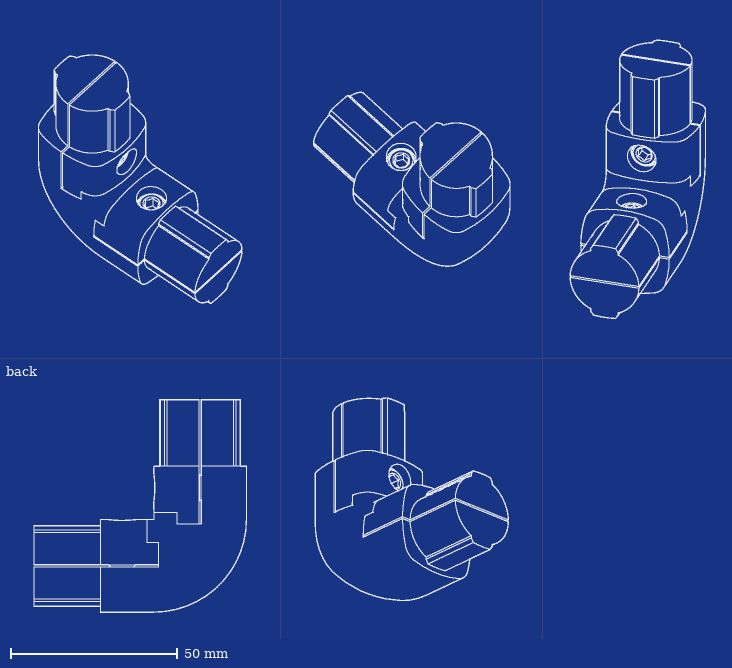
import cadquery as cq
import math


collar_width = 28.0
side_radius = 34.0
corner_radius = 5.0

half_width = collar_width / 2
bend_clearance = 0.01
bend_radius = half_width + bend_clearance
collar_end = 30.0
post_length = 20.0
leg_end = collar_end + post_length

post_radius = 10.9
tab_reach = 12.2
tab_shoulder = 10.75
tab_tip_corner = 12.0
tab_half_width = 4.35
tab_tip_half_width = 3.5

slit_width = 0.6
slit_face = slit_width / 2
jaw_root = 12.6
jaw_step_offset = 7.0
jaw_step_level = 16.0

screw_position = 23.5
screw_diameter = 8.0
screw_length = 11.6
screw_chamfer = 0.5
socket_flats = 4.0
socket_mouth_diameter = 5.1
socket_depth = 4.0
screw_tip = -slit_face
screw_head = screw_tip + screw_length

entry_diameter = 9.0
screw_rise = 1.0
entry_bottom = screw_head - screw_rise
entry_cone_height = (entry_diameter - screw_diameter) / 2


def collar_section(workplane):
    """Closed outline of the collar, four bowed sides joined by tangent corner arcs."""
    side_center = side_radius - half_width
    center_gap = side_radius - corner_radius
    corner_center = (math.sqrt(2 * center_gap**2 - side_center**2) - side_center) / 2
    tangent_along = corner_center * side_radius / center_gap
    tangent_out = (corner_center + side_center) * side_radius / center_gap - side_center
    corner_mid = corner_center + corner_radius / math.sqrt(2)

    outline = workplane.moveTo(tangent_out, -tangent_along)
    for cosine, sine in ((1, 0), (0, 1), (-1, 0), (0, -1)):
        side_mid, side_end, arc_mid, arc_end = [
            (x * cosine - y * sine, x * sine + y * cosine)
            for x, y in (
                (half_width, 0),
                (tangent_out, tangent_along),
                (corner_mid, corner_mid),
                (tangent_along, tangent_out),
            )
        ]
        outline = outline.threePointArc(side_mid, side_end)
        outline = outline.threePointArc(arc_mid, arc_end)
    return outline.close()


def make_post():
    """Round post with two opposite tabs, rising from the end of the collar."""
    post = cq.Workplane("XY", origin=(0, 0, collar_end)).circle(post_radius).extrude(post_length)
    tabs = (
        cq.Workplane("XY", origin=(0, 0, collar_end))
        .moveTo(-tab_shoulder, -tab_half_width)
        .lineTo(tab_shoulder, -tab_half_width)
        .lineTo(tab_tip_corner, -tab_tip_half_width)
        .threePointArc((tab_reach, 0), (tab_tip_corner, tab_tip_half_width))
        .lineTo(tab_shoulder, tab_half_width)
        .lineTo(-tab_shoulder, tab_half_width)
        .lineTo(-tab_tip_corner, tab_tip_half_width)
        .threePointArc((-tab_reach, 0), (-tab_tip_corner, -tab_tip_half_width))
        .close()
        .extrude(post_length)
    )
    return post.union(tabs)


def make_leg(collar_start):
    """Collar and post of the vertical leg, whole, with the collar starting at the given Z."""
    section = collar_section(cq.Workplane("XY", origin=(0, 0, collar_start)))
    collar = section.extrude(collar_end - collar_start)
    return collar.union(make_post())


def make_bend():
    """Quarter turn of the collar section about the inner corner of the two legs."""
    section = collar_section(cq.Workplane("XY", origin=(0, 0, bend_radius)))
    return section.revolve(90, (bend_radius, 1, 0), (bend_radius, 0, 0))


def jaw_region(face_offset):
    """Stepped block over the inner half of the vertical leg, starting at the given X."""
    return (
        cq.Workplane("XZ")
        .moveTo(face_offset, jaw_root)
        .lineTo(jaw_step_offset, jaw_root)
        .lineTo(jaw_step_offset, jaw_step_level)
        .lineTo(half_width, jaw_step_level)
        .lineTo(half_width, leg_end)
        .lineTo(face_offset, leg_end)
        .close()
        .extrude(half_width, both=True)
    )


def screw_axis_plane(offset):
    """Workplane square to the screw axis at the given X."""
    return cq.Workplane("YZ", origin=(offset, 0, screw_position))


def screw_axis_cone(start, small_diameter, large_diameter, height):
    """Cone on the screw axis that widens along +X from the given X."""
    cone = cq.Solid.makeCone(
        small_diameter / 2,
        large_diameter / 2,
        height,
        pnt=cq.Vector(start, 0, screw_position),
        dir=cq.Vector(1, 0, 0),
    )
    return cq.Workplane(cone)


def make_screw_hole():
    """Plain bore, conical floor and wide entry of the jaw's screw hole."""
    floor_start = entry_bottom - entry_cone_height
    bore = screw_axis_plane(0).circle(screw_diameter / 2).extrude(entry_bottom)
    floor = screw_axis_cone(floor_start, screw_diameter, entry_diameter, entry_cone_height)
    entry = screw_axis_plane(entry_bottom).circle(entry_diameter / 2).extrude(half_width - entry_bottom)
    return bore.union(floor).union(entry)


def make_screw():
    """Set screw with chamfered ends and a countersunk hexagon socket."""
    socket_corners = socket_flats / math.cos(math.pi / 6)
    mouth_depth = (socket_mouth_diameter - socket_flats) / 2
    mouth = screw_axis_cone(
        screw_head - mouth_depth, socket_flats, socket_mouth_diameter, mouth_depth
    )
    socket = (
        screw_axis_plane(screw_head)
        .transformed(rotate=(0, 0, 90))
        .polygon(6, socket_corners)
        .extrude(-socket_depth)
    )
    shank = screw_axis_plane(screw_tip).circle(screw_diameter / 2).extrude(screw_length)
    return shank.faces("<X or >X").chamfer(screw_chamfer).cut(socket).cut(mouth)


def on_horizontal_leg(body):
    """The same body on the horizontal leg: a half turn that swaps X and Z."""
    return body.rotate((0, 0, 0), (1, 0, 1), 180)


def make_elbow():
    """Bend with the outer half of each leg."""
    leg = make_leg(bend_radius)
    whole = make_bend().union(leg).union(on_horizontal_leg(leg))
    cutter = jaw_region(-slit_face)
    return whole.cut(cutter).cut(on_horizontal_leg(cutter))


def make_jaw():
    """Inner half of the vertical leg with its screw hole."""
    blank = make_leg(jaw_root).intersect(jaw_region(slit_face))
    return blank.cut(make_screw_hole())


elbow = make_elbow()
jaw = make_jaw()
screw = make_screw()

bodies = elbow.solids().vals()
for vertical_body in (jaw, screw):
    bodies.extend(vertical_body.solids().vals())
    bodies.extend(on_horizontal_leg(vertical_body).solids().vals())

result = cq.Compound.makeCompound(bodies)